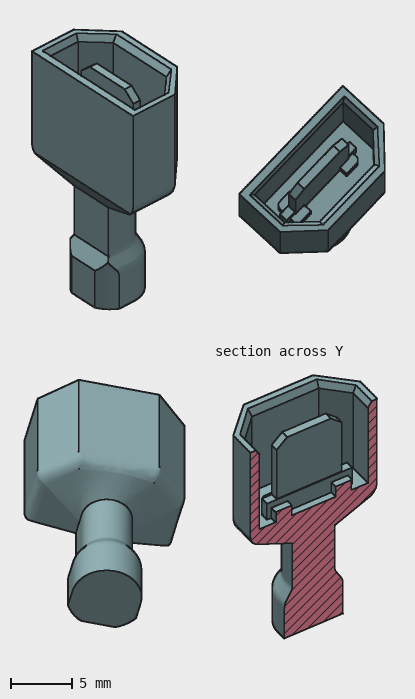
import cadquery as cq
import math

TOTAL_HEIGHT = 21.72
COLLAR_EDGE_Z = 3.71
NECK_BOTTOM_Z = 5.05
NECK_TOP_Z = 9.95
HOUSING_EDGE_Z = 11.73

NECK_DIAMETER = 4.2
NECK_RADIUS = NECK_DIAMETER / 2
NECK_FRONT_Y = -2.06
TAPER_SPLIT_Y = -0.75
COLLAR_RADIUS = 2.87
COLLAR_FRONT_Y = -2.95
COLLAR_CORNER_RADIUS = 3.28
COLLAR_EDGE_BLEND = 1.3
COLLAR_NECK_BLEND = 0.87

HOUSING_WIDTH = 12.38
HOUSING_DEPTH = 7.36
HOUSING_FRONT_Y = -3.05
HOUSING_BACK_Y = HOUSING_FRONT_Y + HOUSING_DEPTH
HOUSING_SHOULDER_Y = 1.56
HOUSING_BACK_WIDTH = 6.78
HOUSING_EDGE_RADIUS = 1.25

CAVITY_FLOOR_Z = 13.03
FLARE_HEIGHT = 0.59
CAVITY_WIDTH = 10.55
CAVITY_BACK_WIDTH = 6.52
CAVITY_FRONT_Y = -2.15
CAVITY_SHOULDER_Y = 1.22
CAVITY_BACK_Y = 3.25
MOUTH_WIDTH = 11.3
MOUTH_BACK_WIDTH = 6.73
MOUTH_FRONT_Y = -2.35
MOUTH_SHOULDER_Y = 1.37
MOUTH_BACK_Y = 3.71

BLADE_WIDTH = 6.35
BLADE_TIP_WIDTH = 4.25
BLADE_THICKNESS = 0.75
BLADE_BACK_Y = 0.45
BLADE_TOP_Z = 20.98
BLADE_SHOULDER_Z = 20.07
BAR_WIDTH = 8.3
BAR_BACK_Y = 0.4
BAR_HEIGHT = 1.74
CURL_OUTER_X = 3.74
CURL_WIDTH = 1.6
CURL_DEPTH = 2.41
CURL_HEIGHT = 1.09
CURL_CORNER_RADIUS = 0.43


def housing_outline(z, width, back_width, front_y, shoulder_y, back_y):
    """Six-sided outline, symmetric about X = 0, on the plane at height z."""
    half = width / 2
    half_back = back_width / 2
    return cq.Workplane("XY", origin=(0, 0, z)).polyline([
        (-half, front_y), (half, front_y), (half, shoulder_y),
        (half_back, back_y), (-half_back, back_y), (-half, shoulder_y),
    ]).close()


def outer_outline(z):
    return housing_outline(z, HOUSING_WIDTH, HOUSING_BACK_WIDTH,
                           HOUSING_FRONT_Y, HOUSING_SHOULDER_Y, HOUSING_BACK_Y)


def cavity_outline(z):
    return housing_outline(z, CAVITY_WIDTH, CAVITY_BACK_WIDTH,
                           CAVITY_FRONT_Y, CAVITY_SHOULDER_Y, CAVITY_BACK_Y)


def mouth_outline(z):
    return housing_outline(z, MOUTH_WIDTH, MOUTH_BACK_WIDTH,
                           MOUTH_FRONT_Y, MOUTH_SHOULDER_Y, MOUTH_BACK_Y)


def neck_outline(z):
    """Half circle at the back; each side has a corner that meets a housing corner."""
    return (
        cq.Workplane("XY", origin=(0, 0, z))
        .moveTo(-NECK_RADIUS, NECK_FRONT_Y)
        .lineTo(NECK_RADIUS, NECK_FRONT_Y)
        .lineTo(NECK_RADIUS, TAPER_SPLIT_Y)
        .lineTo(NECK_RADIUS, 0)
        .threePointArc((0, NECK_RADIUS), (-NECK_RADIUS, 0))
        .lineTo(-NECK_RADIUS, TAPER_SPLIT_Y)
        .close()
    )


def loft_between(lower, upper):
    wires = [lower.wire().val(), upper.wire().val()]
    return cq.Workplane(cq.Solid.makeLoft(wires, True))


def stem():
    """Crimp collar and neck, with a blended slope at the sides and back."""
    slope_x = COLLAR_RADIUS - NECK_RADIUS
    slope_z = NECK_BOTTOM_Z - COLLAR_EDGE_Z
    slope_length = math.hypot(slope_x, slope_z)
    half_turn = math.atan2(slope_x, slope_z) / 2
    along_x = slope_x / slope_length
    along_z = slope_z / slope_length

    low = COLLAR_EDGE_BLEND * math.tan(half_turn)
    high = COLLAR_NECK_BLEND * math.tan(half_turn)
    profile = (
        cq.Workplane("XZ")
        .lineTo(COLLAR_RADIUS, 0)
        .lineTo(COLLAR_RADIUS, COLLAR_EDGE_Z - low)
        .tangentArcPoint((COLLAR_RADIUS - low * along_x, COLLAR_EDGE_Z + low * along_z), relative=False)
        .lineTo(NECK_RADIUS + high * along_x, NECK_BOTTOM_Z - high * along_z)
        .tangentArcPoint((NECK_RADIUS, NECK_BOTTOM_Z + high), relative=False)
        .lineTo(NECK_RADIUS, NECK_TOP_Z)
        .lineTo(0, NECK_TOP_Z)
        .close()
    )
    back = profile.revolve(360, (0, 0, 0), (0, 1, 0))
    right_front = profile.wires().toPending().extrude(-COLLAR_FRONT_Y)
    body = back.union(right_front).union(right_front.mirror("YZ"))

    side_limit = (
        cq.Workplane("YZ")
        .polyline([
            (COLLAR_FRONT_Y, 0), (COLLAR_FRONT_Y, COLLAR_EDGE_Z),
            (NECK_FRONT_Y, NECK_BOTTOM_Z), (NECK_FRONT_Y, NECK_TOP_Z),
            (COLLAR_RADIUS, NECK_TOP_Z), (COLLAR_RADIUS, 0),
        ])
        .close()
        .extrude(COLLAR_RADIUS, both=True)
    )
    rounded_limit = cq.Workplane("XY").circle(COLLAR_CORNER_RADIUS).extrude(NECK_TOP_Z)
    return body.intersect(side_limit).intersect(rounded_limit)


def housing():
    """Housing on its taper, rounded at the bottom edge except along the front."""
    taper = loft_between(neck_outline(NECK_TOP_Z), outer_outline(HOUSING_EDGE_Z))
    shell = outer_outline(HOUSING_EDGE_Z).extrude(TOTAL_HEIGHT - HOUSING_EDGE_Z)
    body = shell.union(taper)
    tolerance = 0.02
    rounded_edges = body.edges(cq.selectors.BoxSelector(
        (-HOUSING_WIDTH, HOUSING_FRONT_Y + tolerance, HOUSING_EDGE_Z - tolerance),
        (HOUSING_WIDTH, HOUSING_BACK_Y + tolerance, HOUSING_EDGE_Z + tolerance),
    ))
    return rounded_edges.fillet(HOUSING_EDGE_RADIUS)


def cavity():
    flare_z = TOTAL_HEIGHT - FLARE_HEIGHT
    well = cavity_outline(CAVITY_FLOOR_Z).extrude(flare_z - CAVITY_FLOOR_Z)
    return well.union(loft_between(cavity_outline(flare_z), mouth_outline(TOTAL_HEIGHT)))


def terminal():
    """Blade with a bevelled tip, its root bar and the two curls beside it."""
    half = BLADE_WIDTH / 2
    half_tip = BLADE_TIP_WIDTH / 2
    blade = (
        cq.Workplane("XZ", origin=(0, BLADE_BACK_Y, 0))
        .polyline([
            (-half, CAVITY_FLOOR_Z), (half, CAVITY_FLOOR_Z), (half, BLADE_SHOULDER_Z),
            (half_tip, BLADE_TOP_Z), (-half_tip, BLADE_TOP_Z), (-half, BLADE_SHOULDER_Z),
        ])
        .close()
        .extrude(BLADE_THICKNESS)
    )
    floor = cq.Workplane("XY", origin=(0, 0, CAVITY_FLOOR_Z))
    bar_y = BAR_BACK_Y - BLADE_THICKNESS / 2
    body = blade.union(floor.center(0, bar_y).rect(BAR_WIDTH, BLADE_THICKNESS).extrude(BAR_HEIGHT))
    curl_x = CURL_OUTER_X - CURL_WIDTH / 2
    right_curl = (
        floor.center(curl_x, bar_y)
        .rect(CURL_WIDTH, CURL_DEPTH)
        .extrude(CURL_HEIGHT)
        .edges("|Z and >X")
        .fillet(CURL_CORNER_RADIUS)
    )
    return body.union(right_curl).union(right_curl.mirror("YZ"))


result = stem().union(housing()).cut(cavity()).union(terminal())